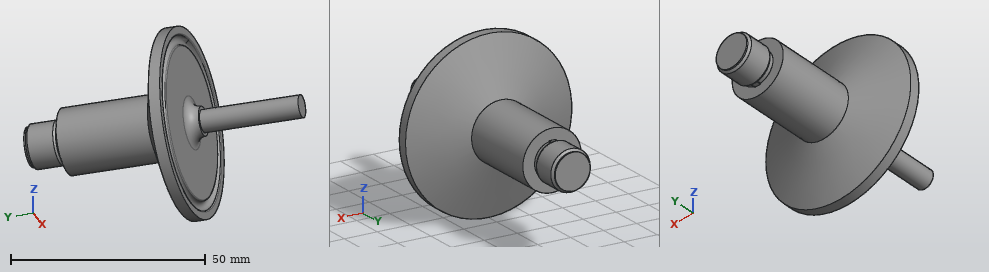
import cadquery as cq
import math


flange_radius = 25.2
flange_rim = 3.1
flange_cone = 5.9

groove_inner_radius = 20.35
groove_outer_radius = 22.95
groove_depth = 1.4
groove_edge_round = 0.3

body_radius = 8.9
body_length = 24.95

plug_radius = 6.0
plug_length = 10.1
plug_tip_radius = 5.3
plug_tip_length = 0.45
neck_radius = 5.3
neck_length = 1.3
neck_shoulder_radius = 5.55
neck_taper = 0.6

key_width = 2.0
key_radius = neck_shoulder_radius

collar_radius = 3.9
flare_radius = 3.1
probe_radius = 3.0
probe_reach = 30.0

body_start = flange_rim + flange_cone
body_end = body_start + body_length
plug_end = body_end + plug_length
plug_chamfer = plug_radius - plug_tip_radius


def turned(outline):
    """Close an outline of (radius, Y) points and revolve it about the Y axis."""
    return outline.close().revolve(360, (0, 0, 0), (0, 1, 0))


def make_rear_turning():
    """Flange, body and plug as one turned profile."""
    return turned(
        cq.Workplane("XY")
        .moveTo(0, 0)
        .lineTo(flange_radius, 0)
        .lineTo(flange_radius, flange_rim)
        .lineTo(body_radius, body_start)
        .lineTo(body_radius, body_end)
        .lineTo(neck_radius, body_end)
        .lineTo(neck_radius, body_end + neck_length)
        .lineTo(neck_shoulder_radius, body_end + neck_length)
        .lineTo(plug_radius, body_end + neck_length + neck_taper)
        .lineTo(plug_radius, plug_end - plug_tip_length - plug_chamfer)
        .lineTo(plug_tip_radius, plug_end - plug_tip_length)
        .lineTo(plug_tip_radius, plug_end)
        .lineTo(0, plug_end)
    )


def make_probe():
    """Probe rod with a collar that flares into the flange face."""
    flare_diagonal = flare_radius * (1 - math.sqrt(0.5))
    flare_foot = collar_radius + flare_radius
    return turned(
        cq.Workplane("XY")
        .moveTo(0, 0)
        .lineTo(flare_foot, 0)
        .threePointArc(
            (collar_radius + flare_diagonal, -flare_diagonal),
            (collar_radius, -flare_radius),
        )
        .lineTo(probe_radius, -flare_radius)
        .lineTo(probe_radius, -probe_reach)
        .lineTo(0, -probe_reach)
    )


def make_groove():
    """Ring cutter with a circular-arc floor."""
    middle_radius = (groove_inner_radius + groove_outer_radius) / 2
    return turned(
        cq.Workplane("XY")
        .moveTo(groove_inner_radius, 0)
        .threePointArc((middle_radius, groove_depth), (groove_outer_radius, 0))
    )


def make_keys():
    """Flat-topped bar across the neck, standing proud of it at +Z and -Z."""
    return (
        cq.Workplane("XY")
        .box(key_width, neck_length, 2 * key_radius)
        .translate((0, body_end + neck_length / 2, 0))
    )


def on_groove_rim(edge):
    """True for the two circles where the groove meets the flange face."""
    rim_radii = (groove_inner_radius, groove_outer_radius)
    return any(math.isclose(edge.radius(), radius, abs_tol=0.0001) for radius in rim_radii)


flange = make_rear_turning().cut(make_groove())
flange = flange.faces("<Y").edges("%CIRCLE").filter(on_groove_rim).fillet(groove_edge_round)
result = flange.union(make_probe()).union(make_keys())